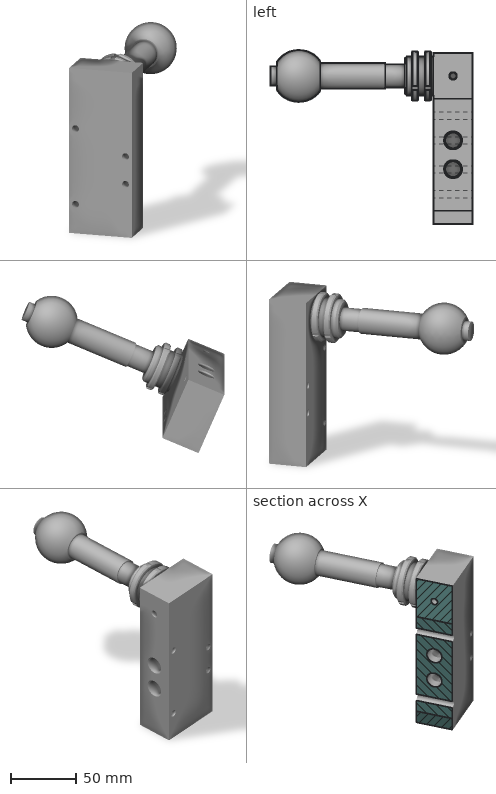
import cadquery as cq
import math

block_width = 50.0
block_depth = 30.0
cap_height = 10.0
body_height = 86.0
head_height = 35.0
head_bottom = cap_height + body_height
body_mid_z = cap_height + body_height / 2
port_y = block_depth / 2

mount_diameter = 5.5
mount_x = 20.0
mount_left_offset = 30.0
mount_right_offset = 11.0
port_mouth_diameter = 14.0
port_diameter = 12.0
port_chamfer = (port_mouth_diameter - port_diameter) / 2
port_depth = 12.4
port_offset = mount_right_offset

side_hole_diameter = 5.0
side_hole_mouth_diameter = 5.9
side_hole_chamfer = (side_hole_mouth_diameter - side_hole_diameter) / 2
side_hole_depth = 9.3

lever_z = 113.5
collar_radius = 30.0 / 2
collar_end = 52.0
collar_chamfer = 1.5
neck_radius = 18.0 / 2
grip_start = 67.1
grip_radius = 20.0 / 2
ball_radius = 20.0
ball_y = 133.1
ball_start = 116.7
ball_end = 150.0
tip_radius = 15.0 / 2
tip_end = 155.0

nut_radius = 19.0
nut_thickness = 5.1
nut_chamfer = 1.0
nut_starts = (31.8, 41.7)
slot_width = 3.7
slot_depth = 1.1
slot_count = 3


def block(bottom, height):
    """Full-section slice of the rectangular block."""
    return (
        cq.Workplane("XY")
        .box(block_width, block_depth, height, centered=(True, False, False))
        .translate((0, 0, bottom))
    )


def lever_cylinder(radius, start, end):
    """Cylinder on the lever axis between two Y positions."""
    solid = cq.Solid.makeCylinder(radius, end - start, cq.Vector(0, start, lever_z), cq.Vector(0, 1, 0))
    return cq.Workplane(obj=solid)


def side_hole(z, diameter, depth, chamfer):
    """Blind hole bored from the -X face, with a countersunk mouth."""
    mouth = cq.Vector(-block_width / 2, port_y, z)
    inward = cq.Vector(1, 0, 0)
    bore = cq.Solid.makeCylinder(diameter / 2, depth, mouth, inward)
    countersink = cq.Solid.makeCone(diameter / 2 + chamfer, diameter / 2, chamfer, mouth, inward)
    return cq.Workplane(obj=bore.fuse(countersink))


def ring_nut(start):
    """Chamfered ring with evenly spaced slots across its rim."""
    nut = lever_cylinder(nut_radius, start, start + nut_thickness).edges().chamfer(nut_chamfer)
    slot = (
        cq.Workplane("XY")
        .box(slot_width, nut_thickness, 2 * slot_depth)
        .translate((0, start + nut_thickness / 2, lever_z + nut_radius))
    )
    for i in range(slot_count):
        angle = i * 360 / slot_count
        nut = nut.cut(slot.rotate((0, 0, lever_z), (0, 1, lever_z), angle))
    return nut


def ball_knob():
    """Sphere cut flat where the grip enters and at the far end."""
    start_radius = math.sqrt(ball_radius**2 - (ball_y - ball_start) ** 2)
    end_radius = math.sqrt(ball_radius**2 - (ball_end - ball_y) ** 2)
    return (
        cq.Workplane("XY")
        .moveTo(0, ball_start)
        .lineTo(start_radius, ball_start)
        .threePointArc((ball_radius, ball_y), (end_radius, ball_end))
        .lineTo(0, ball_end)
        .close()
        .revolve(360, (0, 0), (0, 1))
        .translate((0, 0, lever_z))
    )


def make_lever():
    """Collar, ring nuts, neck, grip, ball and end tip."""
    collar = lever_cylinder(collar_radius, block_depth, collar_end).faces(">Y").chamfer(collar_chamfer)
    lever = collar.union(lever_cylinder(neck_radius, block_depth, grip_start))
    for start in nut_starts:
        lever = lever.union(ring_nut(start))
    lever = lever.union(lever_cylinder(grip_radius, grip_start, ball_y))
    lever = lever.union(ball_knob())
    return lever.union(lever_cylinder(tip_radius, ball_y, tip_end))


def make_head():
    """Operating head with its lever and side hole."""
    head = block(head_bottom, head_height).union(make_lever())
    return head.cut(side_hole(lever_z, side_hole_diameter, side_hole_depth, side_hole_chamfer))


def make_valve_body():
    """Middle block with four through holes and two side ports."""
    body = block(cap_height, body_height)
    for x, offset in ((-mount_x, mount_left_offset), (mount_x, mount_right_offset)):
        for side in (-1, 1):
            start = cq.Vector(x, 0, body_mid_z + side * offset)
            hole = cq.Solid.makeCylinder(mount_diameter / 2, block_depth, start, cq.Vector(0, 1, 0))
            body = body.cut(cq.Workplane(obj=hole))
    for side in (-1, 1):
        port_z = body_mid_z + side * port_offset
        body = body.cut(side_hole(port_z, port_diameter, port_depth, port_chamfer))
    return body


def make_end_cap():
    """Plain plate closing the bottom of the valve body."""
    return block(0, cap_height)


head = make_head()
valve_body = make_valve_body()
end_cap = make_end_cap()

result = cq.Compound.makeCompound([head.val(), valve_body.val(), end_cap.val()])